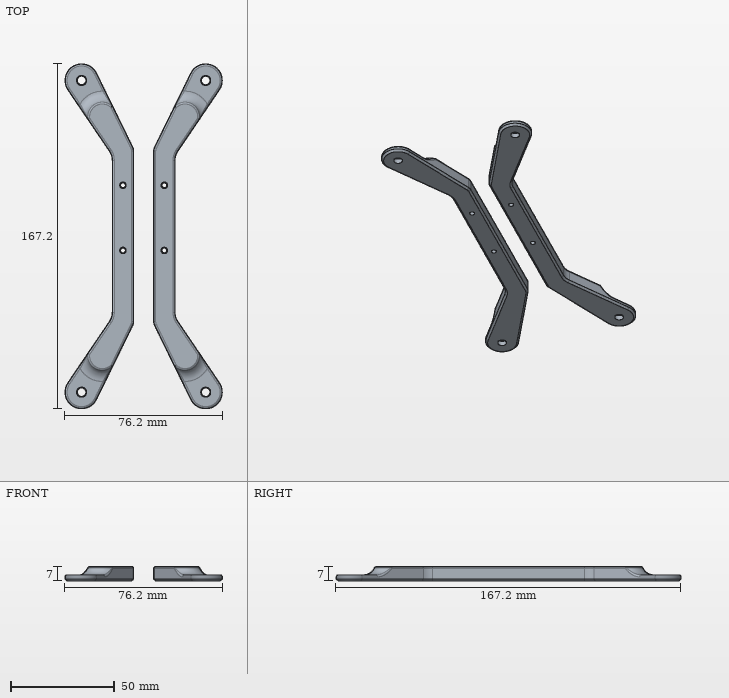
import cadquery as cq
import math

overall_length = 167.2
overall_width = 76.2
bar_height = 7.0
foot_height = 3.0
base_chamfer = 1.0
rim_fillet = 1.0

foot_radius = 8.0
foot_x = overall_width / 2 - foot_radius
foot_y = overall_length / 2 - foot_radius
mount_hole_diameter = 4.2
mount_hole_mouth_diameter = 4.8

bar_center_x = 10.0
bar_width = 10.4
bar_inner_x = bar_center_x - bar_width / 2
bar_outer_x = bar_center_x + bar_width / 2
inner_corner_y = 42.3
outer_corner_y = 39.3
inner_corner_radius = 4.0
outer_corner_radius = 8.0

bar_hole_diameter = 2.3
bar_hole_mouth_diameter = 3.2
bar_hole_ys = (24.7, -6.9)

step_axis_x = 20.0
step_axis_y = 58.0
step_foot_radius = 12.4
step_arc_radius = 5.9
cut_reach = 41.8


def tangent_angle(corner_x, corner_y, side):
    """Direction from the foot centre to where a line from a bar corner touches the foot circle.

    The side is 1 for the outer edge of the arm and -1 for the inner edge.
    """
    dx = foot_x - corner_x
    dy = foot_y - corner_y
    half_angle = math.asin(foot_radius / math.hypot(dx, dy))
    return math.atan2(dy, dx) - side * (half_angle + math.pi / 2)


def foot_point(angle):
    """Point on the round edge of the +Y foot."""
    return foot_x + foot_radius * math.cos(angle), foot_y + foot_radius * math.sin(angle)


def flipped(point):
    """The matching point at the -Y end."""
    return point[0], -point[1]


def bracket_blank():
    """Bracket outline at full bar height, with its four bends rounded."""
    inner_corner = (bar_inner_x, inner_corner_y)
    outer_corner = (bar_outer_x, outer_corner_y)
    inner_angle = tangent_angle(*inner_corner, -1)
    outer_angle = tangent_angle(*outer_corner, 1)
    inner_tangent = foot_point(inner_angle)
    outer_tangent = foot_point(outer_angle)
    tip = foot_point((inner_angle + outer_angle) / 2)
    blank = (
        cq.Workplane("XY")
        .moveTo(*flipped(inner_corner))
        .lineTo(*inner_corner)
        .lineTo(*inner_tangent)
        .threePointArc(tip, outer_tangent)
        .lineTo(*outer_corner)
        .lineTo(*flipped(outer_corner))
        .lineTo(*flipped(outer_tangent))
        .threePointArc(flipped(tip), flipped(inner_tangent))
        .close()
        .extrude(bar_height)
    )
    bends = ((inner_corner, inner_corner_radius), (outer_corner, outer_corner_radius))
    for corner, radius in bends:
        for x, y in (corner, flipped(corner)):
            bend_edge = cq.NearestToPointSelector((x, y, bar_height / 2))
            blank = blank.edges("|Z").edges(bend_edge).fillet(radius)
    return blank


def step_cutter():
    """Material above the +Y foot, bounded by the concave step."""
    rise = bar_height - foot_height
    arc_center_z = foot_height + step_arc_radius
    sweep_angle = math.acos(1 - rise / step_arc_radius)

    def arc_point(angle):
        return (
            step_foot_radius - step_arc_radius * math.sin(angle),
            arc_center_z - step_arc_radius * math.cos(angle),
        )

    foot_direction = math.degrees(math.atan2(foot_y - step_axis_y, foot_x - step_axis_x))
    return (
        cq.Workplane("XZ")
        .moveTo(*arc_point(0))
        .threePointArc(arc_point(sweep_angle / 2), arc_point(sweep_angle))
        .lineTo(cut_reach, bar_height)
        .lineTo(cut_reach, foot_height)
        .close()
        .revolve(180, (0, 0), (0, -1))
        .rotate((0, 0, 0), (0, 0, 1), foot_direction + 90)
        .translate((step_axis_x, step_axis_y, 0))
    )


def is_upper_rim(edge):
    """True for the upper rim and the step's crest, false for the smooth line where step meets foot."""
    tolerance = 0.02
    box = edge.BoundingBox()
    if box.zmin < foot_height - tolerance:
        return False
    at_foot_height = box.zmax < foot_height + tolerance
    is_step_base = (
        at_foot_height
        and edge.geomType() == "CIRCLE"
        and abs(edge.radius() - step_foot_radius) < tolerance
    )
    return not is_step_base


def countersunk_hole(x, y, top_z, diameter, mouth_diameter):
    """Through hole with a 45 degree chamfer at its upper mouth."""
    mouth_depth = (mouth_diameter - diameter) / 2
    return (
        cq.Workplane("XZ")
        .lineTo(diameter / 2, 0)
        .lineTo(diameter / 2, top_z - mouth_depth)
        .lineTo(mouth_diameter / 2, top_z)
        .lineTo(0, top_z)
        .close()
        .revolve(360, (0, 0), (0, 1))
        .translate((x, y, 0))
    )


def make_bracket():
    """The +X bracket as one solid."""
    bracket = bracket_blank()
    cutter = step_cutter()
    bracket = bracket.cut(cutter).cut(cutter.mirror("XZ"))
    bracket = bracket.faces("<Z").edges().chamfer(base_chamfer)
    upper_rim = [edge for edge in bracket.edges().vals() if is_upper_rim(edge)]
    bracket = bracket.newObject(upper_rim).fillet(rim_fillet)
    for y in (foot_y, -foot_y):
        bracket = bracket.cut(
            countersunk_hole(foot_x, y, foot_height, mount_hole_diameter, mount_hole_mouth_diameter)
        )
    for y in bar_hole_ys:
        bracket = bracket.cut(
            countersunk_hole(bar_center_x, y, bar_height, bar_hole_diameter, bar_hole_mouth_diameter)
        )
    return bracket


right_bracket = make_bracket()
left_bracket = right_bracket.mirror("YZ")

result = cq.Compound.makeCompound([right_bracket.val(), left_bracket.val()])